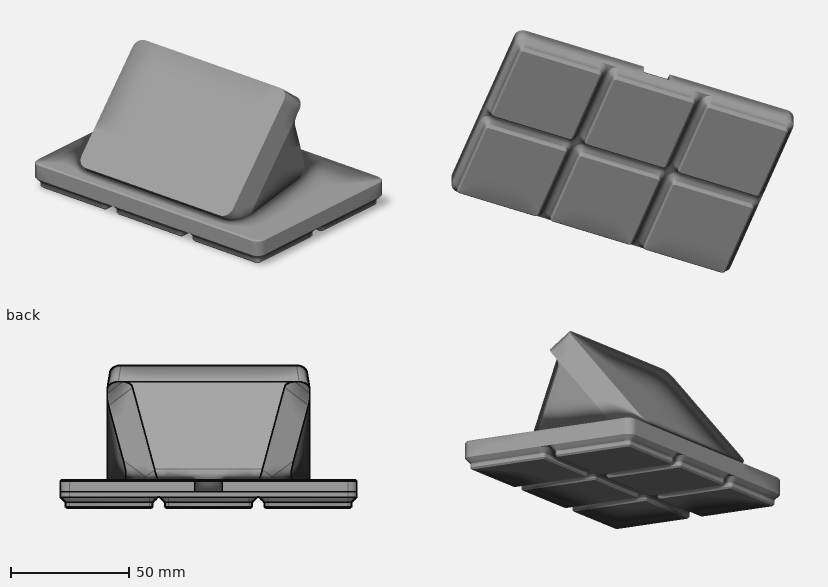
import cadquery as cq

GRID_COLUMNS = 3
GRID_ROWS = 2
BASE_LENGTH = 125.5
BASE_WIDTH = 83.5
BASE_CORNER_RADIUS = 3.8
GRID_PITCH = (BASE_LENGTH - BASE_WIDTH) / (GRID_COLUMNS - GRID_ROWS)
FOOT_GAP = GRID_COLUMNS * GRID_PITCH - BASE_LENGTH
FOOT_TOP_SIZE = GRID_PITCH - FOOT_GAP

FOOT_TOE_CHAMFER = 0.8
FOOT_FLARE_TAPER = 45
FOOT_FLARE = 2.3
FOOT_FLARE_BOTTOM = 2.5
FOOT_HEIGHT = FOOT_FLARE_BOTTOM + FOOT_FLARE
FOOT_WALL_SIZE = FOOT_TOP_SIZE - 2 * FOOT_FLARE
FOOT_WALL_RADIUS = BASE_CORNER_RADIUS - FOOT_FLARE

SLAB_TOP = 7.0
PLATE_TOP = 12.0
PLATE_EDGE_CHAMFER = 0.6
SLOT_WIDTH = 11.5
SLOT_FRONT_Y = 30.1

TILT = 49.2
PANEL_BACK_Y = -8.3
PANEL_BACK_Z = 30.2
PANEL_THICKNESS = 11.4
FACE_WIDTH = 83.6
FACE_HEIGHT = 60.2
BACK_WIDTH = 85.8
BACK_HEIGHT = 61.5
PANEL_CORNER_RADIUS = 4.6

STEM_DEPTH = 42.4
STEM_SIDE_INSET = 10.5
STEM_TOP_INSET = 15.0
STEM_TOP_CHAMFER = 10.2
STEM_END_CHAMFER_DEPTH = 10.2
STEM_END_CHAMFER_WIDTH = 7.5
STEM_CORNER_FILLET = 7.5
STEM_END_FILLET = 3.8
STEM_ROOT_FILLET = 4.0

BACK_HALF_WIDTH = BACK_WIDTH / 2
BACK_HALF_HEIGHT = BACK_HEIGHT / 2
END_HALF_WIDTH = BACK_HALF_WIDTH - STEM_SIDE_INSET
END_TOP = BACK_HALF_HEIGHT - STEM_TOP_INSET


def rounded_slab(length, width, radius, bottom, top):
    return (
        cq.Workplane("XY", origin=(0, 0, bottom))
        .rect(length, width)
        .extrude(top - bottom)
        .edges("|Z")
        .fillet(radius)
    )


def make_foot(x, y):
    """A square foot with a chamfered toe, an upright wall and a flared top."""
    wall = rounded_slab(FOOT_WALL_SIZE, FOOT_WALL_SIZE, FOOT_WALL_RADIUS, 0, FOOT_FLARE_BOTTOM)
    wall = wall.faces("<Z").edges().chamfer(FOOT_TOE_CHAMFER)
    outline = cq.Sketch().rect(FOOT_WALL_SIZE, FOOT_WALL_SIZE).vertices().fillet(FOOT_WALL_RADIUS)
    flare = (
        cq.Workplane("XY", origin=(0, 0, FOOT_FLARE_BOTTOM))
        .placeSketch(outline)
        .extrude(FOOT_FLARE, taper=-FOOT_FLARE_TAPER)
    )
    return wall.union(flare).translate((x, y, 0))


def make_slab():
    return rounded_slab(BASE_LENGTH, BASE_WIDTH, BASE_CORNER_RADIUS, FOOT_HEIGHT, SLAB_TOP)


def make_plate():
    """The cover plate, with a slot through it that opens at the back edge."""
    plate = rounded_slab(BASE_LENGTH, BASE_WIDTH, BASE_CORNER_RADIUS, SLAB_TOP, PLATE_TOP)
    slot_length = BASE_WIDTH / 2 - SLOT_FRONT_Y
    slot = (
        cq.Workplane("XY", origin=(0, SLOT_FRONT_Y + slot_length / 2, SLAB_TOP))
        .rect(SLOT_WIDTH, slot_length)
        .extrude(PLATE_TOP - SLAB_TOP)
    )
    return plate.cut(slot).faces(">Z").edges().chamfer(PLATE_EDGE_CHAMFER)


def make_panel():
    """The panel, wider at the back than at the face."""
    panel = (
        cq.Workplane("XY")
        .rect(BACK_WIDTH, BACK_HEIGHT)
        .workplane(offset=PANEL_THICKNESS)
        .rect(FACE_WIDTH, FACE_HEIGHT)
        .loft(ruled=True)
    )
    return panel.edges("not (#Z)").fillet(PANEL_CORNER_RADIUS)


def stem_section(half_width, top):
    """A cross-section of the stem: a rectangle with its two top corners chamfered."""
    shoulder = top - STEM_TOP_CHAMFER
    ridge = half_width - STEM_TOP_CHAMFER
    return [
        (-half_width, -BACK_HALF_HEIGHT),
        (half_width, -BACK_HALF_HEIGHT),
        (half_width, shoulder),
        (ridge, top),
        (-ridge, top),
        (-half_width, shoulder),
    ]


def make_stem():
    """The stem behind the panel, tapering towards its end."""
    body = (
        cq.Workplane("XY")
        .polyline(stem_section(BACK_HALF_WIDTH, BACK_HALF_HEIGHT))
        .close()
        .workplane(offset=-STEM_DEPTH)
        .polyline(stem_section(END_HALF_WIDTH, END_TOP))
        .close()
        .loft(ruled=True)
    )

    chamfer_z = STEM_END_CHAMFER_DEPTH - STEM_DEPTH
    taper_done = -chamfer_z / STEM_DEPTH
    chamfer_x = BACK_HALF_WIDTH - STEM_SIDE_INSET * taper_done
    end_x = chamfer_x - STEM_END_CHAMFER_WIDTH
    plan = (
        cq.Workplane("XZ")
        .moveTo(-BACK_HALF_WIDTH, 0)
        .lineTo(BACK_HALF_WIDTH, 0)
        .lineTo(chamfer_x, chamfer_z)
        .lineTo(end_x, -STEM_DEPTH)
        .lineTo(-end_x, -STEM_DEPTH)
        .lineTo(-chamfer_x, chamfer_z)
        .close()
        .extrude(BACK_HALF_HEIGHT, both=True)
    )
    body = body.intersect(plan)

    edge_y_at_side = BACK_HALF_HEIGHT - STEM_TOP_INSET * taper_done - STEM_TOP_CHAMFER
    edge_y_at_end = END_HALF_WIDTH + END_TOP - STEM_TOP_CHAMFER - end_x
    edge_x = (chamfer_x + end_x) / 2
    edge_y = (edge_y_at_side + edge_y_at_end) / 2
    edge_z = (chamfer_z - STEM_DEPTH) / 2
    for side in (-1, 1):
        corner_edge = cq.selectors.NearestToPointSelector((side * edge_x, edge_y, edge_z))
        body = body.edges(corner_edge).fillet(STEM_CORNER_FILLET)
    return body.faces("<Z").edges("not(<Y)").fillet(STEM_END_FILLET)


def make_stand():
    """Panel and stem in one piece, tilted and cut off flat on the plate."""
    stand = make_panel().union(make_stem())

    root_x = BACK_HALF_WIDTH - STEM_TOP_CHAMFER / 2
    root_y = BACK_HALF_HEIGHT - STEM_TOP_CHAMFER / 2
    for side in (-1, 1):
        root_edge = cq.selectors.NearestToPointSelector((side * root_x, root_y, 0))
        stand = stand.edges(root_edge).fillet(STEM_ROOT_FILLET)

    stand = stand.rotate((0, 0, 0), (1, 0, 0), TILT)
    stand = stand.translate((0, PANEL_BACK_Y, PANEL_BACK_Z))
    below_plate_top = (
        cq.Workplane("XY", origin=(0, 0, PLATE_TOP))
        .rect(BASE_LENGTH, BASE_LENGTH)
        .extrude(-BASE_LENGTH)
    )
    return stand.cut(below_plate_top)


feet = []
for column in range(GRID_COLUMNS):
    for row in range(GRID_ROWS):
        foot_x = (column - (GRID_COLUMNS - 1) / 2) * GRID_PITCH
        foot_y = (row - (GRID_ROWS - 1) / 2) * GRID_PITCH
        feet.append(make_foot(foot_x, foot_y).val())

slab = make_slab()
plate = make_plate()
stand = make_stand()

result = cq.Compound.makeCompound([*feet, slab.val(), plate.val(), stand.val()])